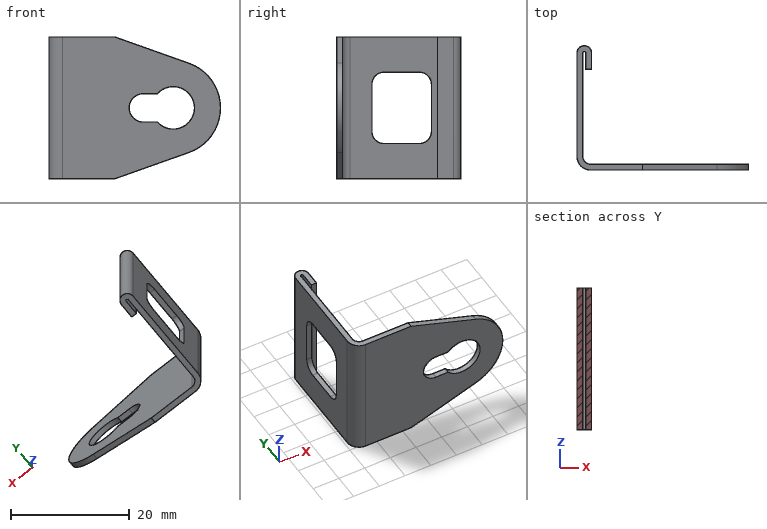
import cadquery as cq
import math

length = 28.97
depth = 21.0
height = 24.0
thickness = 1.0

bend_radius = 2.3
hem_width = 2.5
hem_length = 4.0
hem_radius = hem_width / 2
hem_gap = hem_width - 2 * thickness

shoulder_x = 11.1
nose_radius = 8.0
nose_x = length - nose_radius

keyhole_radius = 3.55
keyhole_slot_radius = 2.38
keyhole_slot_length = 5.05

window_depth = 10.0
window_height = 12.0
window_radius = 2.0
window_start_y = 6.0


def bent_strip():
    """L-shaped sheet with a folded hem, extruded over the full height."""
    inner_bend = bend_radius - thickness
    hem_y = depth - hem_radius
    bend_mid = bend_radius - bend_radius * math.sqrt(0.5)
    inner_mid = bend_radius - inner_bend * math.sqrt(0.5)
    return (
        cq.Workplane("XY")
        .workplane(offset=-height / 2)
        .moveTo(length, 0)
        .lineTo(bend_radius, 0)
        .threePointArc((bend_mid, bend_mid), (0, bend_radius))
        .lineTo(0, hem_y)
        .threePointArc((hem_radius, depth), (hem_width, hem_y))
        .lineTo(hem_width, depth - hem_length)
        .lineTo(hem_width - thickness, depth - hem_length)
        .lineTo(hem_width - thickness, hem_y)
        .threePointArc((hem_radius, hem_y + hem_gap / 2), (thickness, hem_y))
        .lineTo(thickness, bend_radius)
        .threePointArc((inner_mid, inner_mid), (bend_radius, thickness))
        .lineTo(length, thickness)
        .close()
        .extrude(height)
    )


def front_outline():
    """Prism that tapers from the shoulders, tangent to the rounded nose."""
    half_height = height / 2
    back = shoulder_x - nose_x
    shoulder_angle = math.atan2(half_height, back)
    tangent_angle = shoulder_angle - math.acos(nose_radius / math.hypot(back, half_height))
    tangent_x = nose_x + nose_radius * math.cos(tangent_angle)
    tangent_z = nose_radius * math.sin(tangent_angle)
    return (
        cq.Workplane("XZ")
        .moveTo(0, -half_height)
        .lineTo(shoulder_x, -half_height)
        .lineTo(tangent_x, -tangent_z)
        .threePointArc((length, 0), (tangent_x, tangent_z))
        .lineTo(shoulder_x, half_height)
        .lineTo(0, half_height)
        .close()
        .extrude(-depth)
    )


def keyhole():
    """Round hole with a narrower round-ended slot towards the bend."""
    hole = cq.Workplane("XZ").center(nose_x, 0).circle(keyhole_radius).extrude(-thickness)
    slot = (
        cq.Workplane("XZ")
        .center(nose_x - keyhole_slot_length / 2, 0)
        .slot2D(keyhole_slot_length + 2 * keyhole_slot_radius, 2 * keyhole_slot_radius)
        .extrude(-thickness)
    )
    return hole.union(slot)


def window():
    """Rounded rectangular opening through the side wall only."""
    return (
        cq.Workplane("YZ")
        .center(window_start_y + window_depth / 2, 0)
        .rect(window_depth, window_height)
        .extrude(thickness)
        .edges("|X")
        .fillet(window_radius)
    )


result = bent_strip().intersect(front_outline()).cut(keyhole()).cut(window())